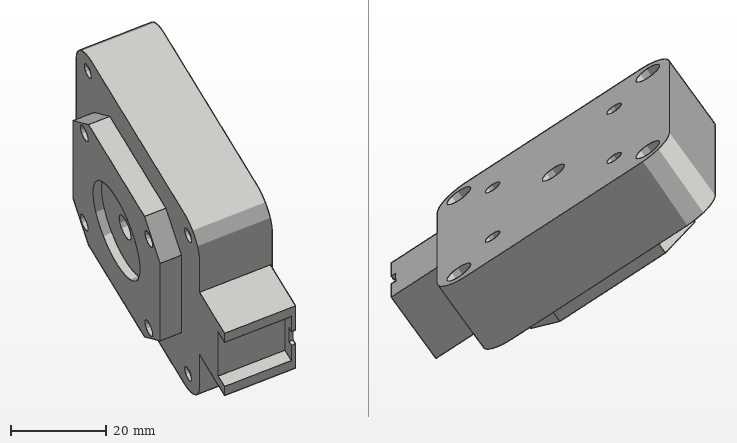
import cadquery as cq

housing_side = 59.2
housing_depth = 17.0
housing_corner_radius = 7.5

plate_side = 41.9
plate_thickness = 5.0
plate_corner_cut = 7.5

recess_diameter = 22.6
recess_depth = 2.0
shaft_bore_diameter = 5.6
plate_hole_diameter = 3.7
plate_hole_spacing = 31.0
housing_hole_diameter = 3.3
housing_hole_spacing = 48.1
housing_hole_land = 1.0
housing_counterbore_diameter = 6.0

overall_length = 71.2
connector_height = 21.65
connector_depth = 16.6
socket_height = 15.3
socket_length = 3.05
socket_back_wall = 1.0
key_slot_height = 4.7
key_slot_length = 1.15

connector_length = overall_length - housing_side
connector_end = housing_side / 2 + connector_length
overall_depth = plate_thickness + housing_depth


def block(x_start, x_end, y_start, y_end, height):
    """Box between two X and two Y positions, centred on Z = 0."""
    box = cq.Workplane("XY").box(x_end - x_start, y_end - y_start, height, centered=(False, False, True))
    return box.translate((x_start, y_start, 0))


def round_cut(diameter, y_start, length, spacing=0):
    """Cylinders along +Y: one on the axis, or four on a square."""
    front = cq.Workplane("XZ", origin=(0, y_start, 0))
    if spacing:
        front = front.rect(spacing, spacing, forConstruction=True).vertices()
    return front.circle(diameter / 2).extrude(-length)


housing = block(-housing_side / 2, housing_side / 2, 0, housing_depth, housing_side)
housing = housing.edges("|Y").fillet(housing_corner_radius)

plate = block(-plate_side / 2, plate_side / 2, -plate_thickness, 0, plate_side)
plate = plate.edges("|Y").chamfer(plate_corner_cut)

connector = block(0, connector_end, 0, connector_depth, connector_height)
socket_floor = connector_depth - socket_back_wall
socket = block(connector_end - socket_length, connector_end, 0, socket_floor, socket_height)
key_slot = block(connector_end - key_slot_length, connector_end, 0, connector_depth, key_slot_height)

result = housing.union(plate).union(connector).cut(socket).cut(key_slot)

result = result.cut(round_cut(recess_diameter, -plate_thickness, recess_depth))
result = result.cut(round_cut(shaft_bore_diameter, -plate_thickness, overall_depth))

result = result.cut(round_cut(plate_hole_diameter, -plate_thickness, overall_depth, plate_hole_spacing))

result = result.cut(round_cut(housing_hole_diameter, 0, housing_depth, housing_hole_spacing))
counterbore_length = housing_depth - housing_hole_land
result = result.cut(
    round_cut(housing_counterbore_diameter, housing_hole_land, counterbore_length, housing_hole_spacing)
)